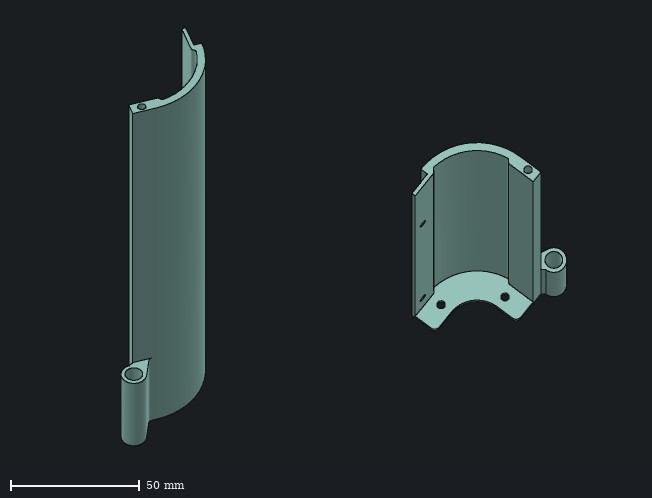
import cadquery as cq
import math

height = 174.5
outer_radius = 28.0
inner_radius = 24.6
lip_outer = 24.6
flank_length = 10.0
flank_inner = 22.9
step_start = 1.5
step_end = 3.8

floor_thickness = 2.6
floor_inner_radius = 12.7
floor_corner_radius = 2.5
floor_hole_diameter = 3.1
floor_hole_reach = 17.8

lip_hole_diameter = 3.1
lip_hole_x = -5.0
lip_hole_heights = (15.2, 121.1)
pin_hole_diameter = 3.1
pin_hole_x = 25.5
pin_hole_y = -5.4
pin_hole_depth = 10.5

hinge_height = 35.0
hinge_radius = 5.0
hinge_x = 34.0
hinge_y = -11.5
hinge_bore_diameter = 6.8
hinge_floor = 2.6
arm_top_y = -3.1
arm_fillet = 1.4


def arc_middle(radius):
    """Point halfway along the quarter circle of the given radius."""
    return (radius * math.cos(math.pi / 4), radius * math.sin(math.pi / 4))


def make_shell():
    """Constant wall section: a thin lip at one end, a thick flank at the other."""
    arc_end = math.sqrt(inner_radius**2 - step_end**2)
    step_middle = (step_start + step_end) / 2
    rise_middle = (flank_inner + arc_end) / 2
    step_run = step_end - step_start
    step_rise = arc_end - flank_inner
    step_radius = (step_run**2 + step_rise**2) / (4 * step_rise)
    return (
        cq.Workplane("XY")
        .moveTo(0, outer_radius)
        .threePointArc(arc_middle(outer_radius), (outer_radius, 0))
        .lineTo(outer_radius, -flank_length)
        .lineTo(flank_inner, -flank_length)
        .lineTo(flank_inner, step_start)
        .radiusArc((rise_middle, step_middle), step_radius)
        .radiusArc((arc_end, step_end), -step_radius)
        .threePointArc(arc_middle(inner_radius), (step_end, arc_end))
        .radiusArc((step_middle, rise_middle), -step_radius)
        .radiusArc((step_start, flank_inner), step_radius)
        .lineTo(-flank_length, flank_inner)
        .lineTo(-flank_length, lip_outer)
        .lineTo(0, lip_outer)
        .close()
        .extrude(height)
    )


def make_floor():
    """Flange across the bottom, with a round inner edge and two screw holes."""
    wall_middle = (inner_radius + outer_radius) / 2
    hole_places = [(0, floor_hole_reach), (floor_hole_reach, 0)]
    floor = (
        cq.Workplane("XY")
        .moveTo(-flank_length, floor_inner_radius)
        .lineTo(0, floor_inner_radius)
        .threePointArc(arc_middle(floor_inner_radius), (floor_inner_radius, 0))
        .lineTo(floor_inner_radius, -flank_length)
        .lineTo(wall_middle, -flank_length)
        .lineTo(wall_middle, 0)
        .threePointArc(arc_middle(wall_middle), (0, wall_middle))
        .lineTo(0, flank_inner)
        .lineTo(-flank_length, flank_inner)
        .close()
        .extrude(floor_thickness)
    )
    inner_corners = [(-flank_length, floor_inner_radius), (floor_inner_radius, -flank_length)]
    for x, y in inner_corners:
        corner = cq.selectors.NearestToPointSelector((x, y, floor_thickness / 2))
        floor = floor.edges("|Z").edges(corner).fillet(floor_corner_radius)
    holes = (
        cq.Workplane("XY")
        .pushPoints(hole_places)
        .circle(floor_hole_diameter / 2)
        .extrude(floor_thickness)
    )
    return floor.cut(holes)


def make_hinge():
    """Barrel beside the thick flank, joined to it by a tapering arm."""
    reach_x = hinge_x - outer_radius
    reach_y = arm_top_y - hinge_y
    tangent_angle = math.atan2(reach_y, -reach_x) - math.acos(hinge_radius / math.hypot(reach_x, reach_y))
    tangent_point = (
        hinge_x + hinge_radius * math.cos(tangent_angle),
        hinge_y + hinge_radius * math.sin(tangent_angle),
    )
    barrel = cq.Workplane("XY").center(hinge_x, hinge_y).circle(hinge_radius).extrude(hinge_height)
    arm = (
        cq.Workplane("XY")
        .moveTo(outer_radius, arm_top_y)
        .lineTo(*tangent_point)
        .lineTo(hinge_x, hinge_y)
        .lineTo(hinge_x - hinge_radius, hinge_y)
        .lineTo(outer_radius, -flank_length)
        .close()
        .extrude(hinge_height)
    )
    return barrel.union(arm)


def hinge_bore():
    """Blind bore open at the top of the barrel."""
    return (
        cq.Workplane("XY", origin=(hinge_x, hinge_y, hinge_floor))
        .circle(hinge_bore_diameter / 2)
        .extrude(hinge_height)
    )


def lip_holes():
    """Holes through the thin lip along Y."""
    return (
        cq.Workplane("XZ", origin=(0, outer_radius, 0))
        .pushPoints([(lip_hole_x, z) for z in lip_hole_heights])
        .circle(lip_hole_diameter / 2)
        .extrude(outer_radius - floor_inner_radius)
    )


def pin_hole():
    """Blind hole down into the top of the thick flank."""
    return (
        cq.Workplane("XY", origin=(pin_hole_x, pin_hole_y, height - pin_hole_depth))
        .circle(pin_hole_diameter / 2)
        .extrude(pin_hole_depth)
    )


body = make_shell().union(make_floor()).union(make_hinge())
arm_corner = cq.selectors.NearestToPointSelector((outer_radius, arm_top_y, hinge_height / 2))
body = body.edges("|Z").edges(arm_corner).fillet(arm_fillet)
result = body.cut(hinge_bore()).cut(lip_holes()).cut(pin_hole())